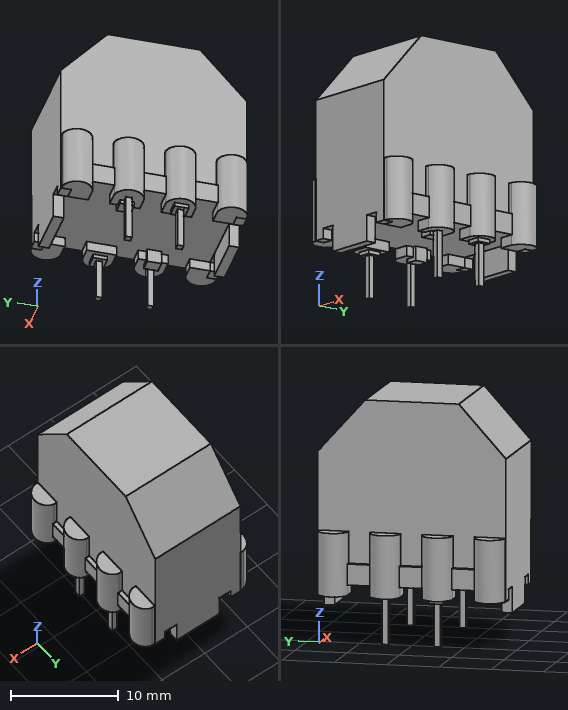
import cadquery as cq

total_height = 23.0
housing_width = 10.0
housing_length = 18.0
top_flat_length = 9.0
slope_height = 5.0
foot_bottom_z = 3.0
foot_width = 5.01
end_wall_thickness = 1.01
notch_outer_x = 3.86

flange_width = 10.95
flange_bottom_z = 5.5
flange_top_z = 7.5
post_bottom_z = 4.5
post_top_z = 10.5
post_radius = 1.5
post_flat_width = 2.9
post_pitch = 5.0
post_count = 4

boss_bottom_z = 4.12
boss_width = 1.38
inner_boss_x = 3.47

pin_width = 0.6

post_x = housing_width / 2
post_row_ys = [(i - (post_count - 1) / 2) * post_pitch for i in range(post_count)]
pin_y = post_pitch / 2
base_length = housing_length - 2 * end_wall_thickness


def block(x_range, y_range, z_range):
    """Axis-aligned box spanning the given (low, high) ranges."""
    (x0, x1), (y0, y1), (z0, z1) = x_range, y_range, z_range
    return cq.Workplane("XY").box(x1 - x0, y1 - y0, z1 - z0, centered=False).translate((x0, y0, z0))


def centred_block(width, length, z_range):
    """Box centred on the Z axis."""
    return block((-width / 2, width / 2), (-length / 2, length / 2), z_range)


def make_housing():
    half_length = housing_length / 2
    half_top = top_flat_length / 2
    slope_start_z = total_height - slope_height
    side_outline = [
        (-half_length, foot_bottom_z),
        (half_length, foot_bottom_z),
        (half_length, slope_start_z),
        (half_top, total_height),
        (-half_top, total_height),
        (-half_length, slope_start_z),
    ]
    body = cq.Workplane("YZ").polyline(side_outline).close().extrude(housing_width / 2, both=True)

    body = body.cut(centred_block(housing_width, base_length, (foot_bottom_z, flange_top_z)))

    foot_edge_x = foot_width / 2
    for side in (-1, 1):
        for outer_x, top_z in ((housing_width / 2, post_bottom_z), (notch_outer_x, flange_bottom_z)):
            x_range = sorted((side * foot_edge_x, side * outer_x))
            body = body.cut(block(x_range, (-half_length, half_length), (foot_bottom_z, top_z)))
    return body


def make_post(y):
    """Half-round post of the +X row, with its foot reaching inward below the flange."""
    half_flat = post_flat_width / 2
    outer_x = post_x + post_radius
    z_range = (post_bottom_z, post_top_z)
    round_bar = (
        cq.Workplane("XY", origin=(post_x, y, post_bottom_z))
        .circle(post_radius)
        .extrude(post_top_z - post_bottom_z)
    )
    outer_half = round_bar.intersect(block((post_x, outer_x), (y - half_flat, y + half_flat), z_range))

    foot_y_range = (max(y - half_flat, -base_length / 2), min(y + half_flat, base_length / 2))
    foot = block((notch_outer_x, post_x), foot_y_range, (post_bottom_z, flange_bottom_z))
    return outer_half.union(foot)


def make_pin_bosses():
    """Bosses of the +X row: a square one around the +Y pin, an offset one behind the -Y pin."""
    half_boss = boss_width / 2
    square_boss = block(
        (post_x - half_boss, post_x + half_boss),
        (pin_y - half_boss, pin_y + half_boss),
        (boss_bottom_z, flange_bottom_z),
    )
    offset_boss = block(
        (inner_boss_x, post_x - pin_width / 2),
        (-pin_y - half_boss, -pin_y + half_boss),
        (boss_bottom_z, flange_bottom_z),
    )
    return square_boss, offset_boss


def make_pin(x, y):
    half_pin = pin_width / 2
    return block((x - half_pin, x + half_pin), (y - half_pin, y + half_pin), (0, flange_top_z))


def make_base(pins):
    base = centred_block(flange_width, base_length, (flange_bottom_z, flange_top_z))
    row_parts = [make_post(y) for y in post_row_ys] + list(make_pin_bosses())
    for part in row_parts:
        base = base.union(part)
        base = base.union(part.rotate((0, 0, 0), (0, 0, 1), 180))
    for pin in pins:
        base = base.cut(pin)
    return base


housing = make_housing()
pins = [make_pin(x, y) for x in (-post_x, post_x) for y in (-pin_y, pin_y)]
base = make_base(pins)

result = cq.Compound.makeCompound([housing.val(), base.val(), *[pin.val() for pin in pins]])